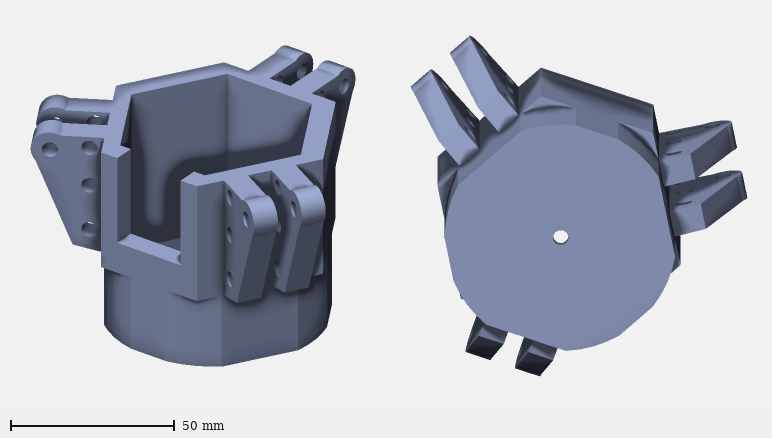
import cadquery as cq
import math

body_height = 65.0
base_height = 24.8
floor_height = 7.0
bevel_height = 4.0
window_sill = 35.4

lug_flat = 33.1
plain_flat = 34.8
cavity_flat = 27.8
floor_flat = 23.9
base_radius = 35.5

through_diameter = 4.7
head_diameter = 8.0
recess_diameter = 20.0
recess_depth = 1.0
head_depth = 4.0

lug_thickness = 8.0
lug_gap = 7.9
lug_pair_width = lug_gap + 2 * lug_thickness
lug_angles = (90, 210, 330)
window_width = lug_pair_width

eye_radius = 6.0
eye_reach = 49.8
eye_height = 59.9
nose_end_height = 56.0
heel_reach = 42.8
heel_height = 27.1
lug_root = (cavity_flat + lug_flat) / 2
lug_hole_diameter = 5.0
mount_hole_reach = 37.6
mount_hole_heights = (32.8, 48.2, 61.2)


def hexagon_points(flat):
    """Corners of a regular hexagon with corners on the X axis."""
    radius = flat / math.cos(math.radians(30))
    angles = [math.radians(60 * i) for i in range(6)]
    return [(radius * math.cos(a), radius * math.sin(a)) for a in angles]


def make_body():
    """Hexagon with alternating flat distances, rounded at the corners of its base."""
    wide_triangle = cq.Workplane("XY").polygon(3, 4 * plain_flat).extrude(body_height)
    wide_triangle = wide_triangle.rotate((0, 0, 0), (0, 0, 1), 90)
    lug_triangle = cq.Workplane("XY").polygon(3, 4 * lug_flat).extrude(body_height)
    lug_triangle = lug_triangle.rotate((0, 0, 0), (0, 0, 1), 30)
    hexagon = wide_triangle.intersect(lug_triangle)

    upper_limit = (
        cq.Workplane("XY")
        .workplane(offset=base_height)
        .circle(2 * base_radius)
        .extrude(body_height - base_height)
    )
    base_limit = cq.Workplane("XY").circle(base_radius).extrude(base_height)
    return hexagon.intersect(base_limit.union(upper_limit))


def make_cavity():
    """Hexagonal pocket whose walls slope inward just above the floor."""
    bevel_top = floor_height + bevel_height
    bevel = (
        cq.Workplane("XY")
        .workplane(offset=floor_height)
        .polyline(hexagon_points(floor_flat))
        .close()
        .workplane(offset=bevel_height)
        .polyline(hexagon_points(cavity_flat))
        .close()
        .loft(ruled=True)
    )
    pocket = (
        cq.Workplane("XY")
        .workplane(offset=bevel_top)
        .polyline(hexagon_points(cavity_flat))
        .close()
        .extrude(body_height - bevel_top)
    )
    return pocket.union(bevel)


def make_floor_hole():
    """Through hole with two stepped recesses sunk from the floor."""
    through = cq.Workplane("XY").circle(through_diameter / 2).extrude(floor_height)
    floor_plane = cq.Workplane("XY").workplane(offset=floor_height)
    head = floor_plane.circle(head_diameter / 2).extrude(-head_depth)
    recess = floor_plane.circle(recess_diameter / 2).extrude(-recess_depth)
    return through.union(head).union(recess)


def make_window():
    """Open-topped notch through the -Y wall."""
    return cq.Workplane("XY").box(
        window_width, plain_flat, body_height - window_sill, centered=(True, False, False)
    ).translate((0, -plain_flat, window_sill))


def make_lug_pair():
    """Two parallel drilled lugs pointing along +Y."""
    top_rise = body_height - eye_height
    top_reach = eye_reach - math.sqrt(eye_radius**2 - top_rise**2)
    nose_drop = eye_height - nose_end_height
    nose_reach = eye_reach + math.sqrt(eye_radius**2 - nose_drop**2)
    profile_plane = cq.Workplane("YZ").workplane(offset=-lug_pair_width / 2)
    blank = (
        profile_plane.moveTo(lug_root, base_height)
        .lineTo(lug_flat, base_height)
        .lineTo(heel_reach, heel_height)
        .lineTo(nose_reach, nose_end_height)
        .threePointArc((eye_reach, eye_height + eye_radius), (top_reach, body_height))
        .lineTo(lug_root, body_height)
        .close()
        .extrude(lug_pair_width)
    )
    gap = cq.Workplane("XY").box(
        lug_gap, eye_reach, 2 * body_height, centered=(True, False, False)
    ).translate((0, lug_flat, 0))
    hole_centres = [(mount_hole_reach, height) for height in mount_hole_heights]
    hole_centres.append((eye_reach, eye_height))
    holes = (
        profile_plane.pushPoints(hole_centres)
        .circle(lug_hole_diameter / 2)
        .extrude(lug_pair_width)
    )
    return blank.cut(gap).cut(holes)


result = make_body().cut(make_cavity()).cut(make_floor_hole()).cut(make_window())
for angle in lug_angles:
    result = result.union(make_lug_pair().rotate((0, 0, 0), (0, 0, 1), angle - 90))